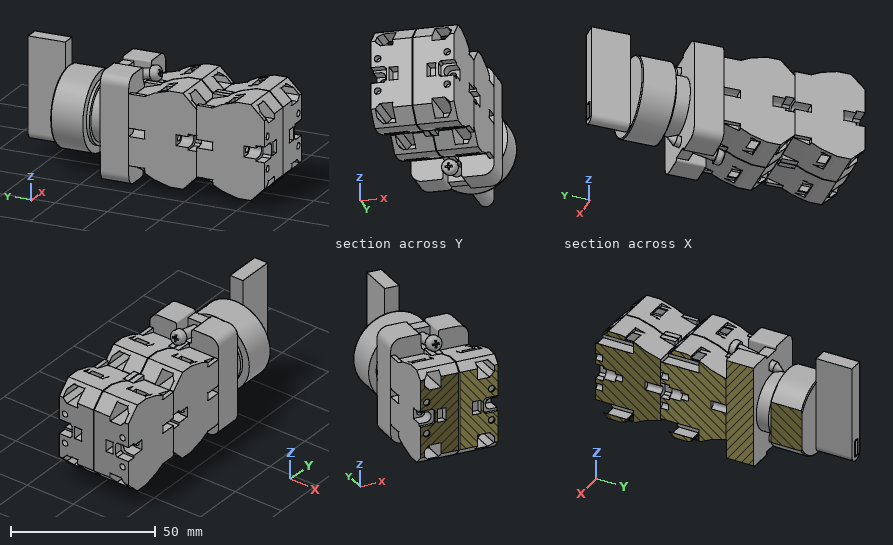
import cadquery as cq
import math

WIDTH = 29.9
HALF_WIDTH = WIDTH / 2

BLOCK_LENGTH = 26.0
BLOCK_ROWS = 2
BLOCK_GAP = 0.3
FRONT_HALF_HEIGHT = 12.6
BLOCK_HALF_HEIGHT = 17.8
RIDGE_END = 10.2
SHOULDER_START = 16.2
SHOULDER_HALF_HEIGHT = 16.0
REAR_START = 19.9
REAR_HALF_HEIGHT = 14.2
REAR_LENGTH = BLOCK_LENGTH - REAR_START

RIM = 1.6
POCKET_OUTER = HALF_WIDTH - RIM
WIRE_POCKET_INNER = 7.1
WIRE_POCKET_BOTTOM = 10.7
WIRE_POCKET_TOP = 16.6
WIRE_POCKET_CORNER = 1.7
WIRE_POCKET_DEPTH = 15.1
WINDOW_INNER = 5.2
WINDOW_START = 12.0
WINDOW_END = 15.65
WEDGE_INNER = 2.2
WEDGE_DEPTH = 1.8
SCREW_LINE = 12.5
HOLE_RADIUS = 1.2
HOLE_DEPTH = 2.9
HOLE_SPACING = 6.0
FRONT_SLOT_INNER = 9.4
FRONT_SLOT_HALF = 2.9
FRONT_SLOT_CORNER = 0.9
FRONT_SLOT_DEPTH = 3.3
DEEP_SLOT_RADIUS = 2.0
DEEP_SLOT_DEPTH = 7.9
REAR_SLOT_RADIUS = 1.5
LATCH_OUTER = 8.3
LATCH_INNER = 5.2
LATCH_HALF_HEIGHT = 2.4
LATCH_DEPTH = 4.8

PLATE_START = BLOCK_ROWS * BLOCK_LENGTH
PLATE_END = 62.9
PLATE_HALF_HEIGHT = 20.2
PLATE_CORNER = 4.1
SLOT_HALF_WIDTH = 3.3
SLOT_EDGE_RADIUS = 0.9
SLOT_CENTRE_Z = 16.0
SHELF_START = 58.5
SHELF_HEIGHT = 18.9

SCREW_TIP_Y = 67.6
SCREW_TIP_Z = 13.4
SCREW_TILT = 11.5
SCREW_RADIUS = 1.9
SCREW_TIP_LENGTH = 3.2
SCREW_HEAD_START = 18.3
SCREW_HEAD_LENGTH = 2.8
SCREW_HEAD_RADIUS = 2.8
SCREW_HEAD_ROUND = 1.4
CROSS_LENGTH = 2.5
CROSS_WIDTH = 0.6
CROSS_DEPTH = 1.0

NECK_RADIUS = 10.8
FLANGE_START = 68.4
FLANGE_RADIUS = 12.1
BEZEL_START = 69.6
BEZEL_END = 82.0
BEZEL_CHAMFER = 0.4

LENGTH = 96.6
LEVER_WIDTH = 5.6
LEVER_TOP = 24.3
LEVER_BOTTOM_CENTRE = -11.4
POINTER_HEIGHT = 0.3
POINTER_TOP = -5.9
POINTER_BOTTOM = -12.3
POINTER_WIDTH = 1.9


def box(x0, x1, y0, y1, z0, z1):
    """Box between two opposite corners."""
    return cq.Workplane("XY").box(x1 - x0, y1 - y0, z1 - z0, centered=False).translate((x0, y0, z0))


def along_y(sketch_y):
    """XZ workplane at a given Y; extruding by a negative length goes towards +Y."""
    return cq.Workplane("XZ", origin=(0, sketch_y, 0))


def mirrored_in_z(shape):
    return shape.union(shape.mirror("XY"))


def block_blank():
    chamfer = BLOCK_HALF_HEIGHT - FRONT_HALF_HEIGHT
    upper = [
        (0, FRONT_HALF_HEIGHT),
        (chamfer, BLOCK_HALF_HEIGHT),
        (RIDGE_END, BLOCK_HALF_HEIGHT),
        (SHOULDER_START, SHOULDER_HALF_HEIGHT),
        (REAR_START, REAR_HALF_HEIGHT),
        (BLOCK_LENGTH, REAR_HALF_HEIGHT),
    ]
    lower = [(y, -z) for y, z in reversed(upper)]
    side = cq.Workplane("YZ", origin=(-HALF_WIDTH, 0, 0))
    return side.polyline(upper + lower).close().extrude(HALF_WIDTH - BLOCK_GAP / 2)


def wire_pocket():
    """Front pocket for a wire, with its two outer corners cut off."""
    outline = [
        (-WIRE_POCKET_INNER, WIRE_POCKET_BOTTOM),
        (-POCKET_OUTER + WIRE_POCKET_CORNER, WIRE_POCKET_BOTTOM),
        (-POCKET_OUTER, WIRE_POCKET_BOTTOM + WIRE_POCKET_CORNER),
        (-POCKET_OUTER, WIRE_POCKET_TOP - WIRE_POCKET_CORNER),
        (-POCKET_OUTER + WIRE_POCKET_CORNER, WIRE_POCKET_TOP),
        (-WIRE_POCKET_INNER, WIRE_POCKET_TOP),
    ]
    return along_y(0).polyline(outline).close().extrude(-WIRE_POCKET_DEPTH)


def window():
    """Flat-floored window in the slope behind the ridge; its floor runs out into the slope."""
    slope = (BLOCK_HALF_HEIGHT - SHOULDER_HALF_HEIGHT) / (SHOULDER_START - RIDGE_END)
    floor_z = BLOCK_HALF_HEIGHT - slope * (WINDOW_END - RIDGE_END)
    return box(-POCKET_OUTER, -WINDOW_INNER, WINDOW_START, WINDOW_END, floor_z, BLOCK_HALF_HEIGHT)


def rear_wedge():
    """Recess in the low rear part, its floor falling towards the plate."""
    outline = [
        (REAR_START, REAR_HALF_HEIGHT),
        (BLOCK_LENGTH, REAR_HALF_HEIGHT),
        (BLOCK_LENGTH, REAR_HALF_HEIGHT - WEDGE_DEPTH),
    ]
    side = cq.Workplane("YZ", origin=(-POCKET_OUTER, 0, 0))
    return side.polyline(outline).close().extrude(POCKET_OUTER - WEDGE_INNER)


def rim_notch():
    """Notch through the side wall beside the lower rear wedge."""
    top = -REAR_HALF_HEIGHT + WEDGE_DEPTH
    return box(-HALF_WIDTH, -POCKET_OUTER, REAR_START, BLOCK_LENGTH, -REAR_HALF_HEIGHT, top)


def open_slot(start, length, radius):
    """Round-ended slot along Y, centred on the screw line and open to the side."""
    end = along_y(start).center(-SCREW_LINE, 0).circle(radius).extrude(-length)
    return end.union(box(-HALF_WIDTH, -SCREW_LINE, start, start + length, -radius, radius))


def front_slot():
    """Wide side slot with its two inner corners cut off."""
    slot = box(-HALF_WIDTH, -FRONT_SLOT_INNER, 0, FRONT_SLOT_DEPTH, -FRONT_SLOT_HALF, FRONT_SLOT_HALF)
    return slot.edges("|Y and >X").chamfer(FRONT_SLOT_CORNER)


def fixing_hole(z, start):
    return along_y(start).center(-SCREW_LINE, z).circle(HOLE_RADIUS).extrude(-HOLE_DEPTH)


def latch_hole():
    return box(-LATCH_OUTER, -LATCH_INNER, 0, LATCH_DEPTH, -LATCH_HALF_HEIGHT, LATCH_HALF_HEIGHT)


def make_contact_block():
    """Left contact block of the front row."""
    block = block_blank()
    for cutter in (wire_pocket(), window(), rear_wedge()):
        block = block.cut(mirrored_in_z(cutter))
    block = block.cut(rim_notch())
    block = block.cut(front_slot())
    block = block.cut(open_slot(0, DEEP_SLOT_DEPTH, DEEP_SLOT_RADIUS))
    block = block.cut(open_slot(REAR_START, REAR_LENGTH, REAR_SLOT_RADIUS))
    block = block.cut(mirrored_in_z(fixing_hole(HOLE_SPACING, 0)))
    block = block.cut(fixing_hole(0, DEEP_SLOT_DEPTH))
    return block.cut(latch_hole())


def tilted(shape):
    """Move a shape made along -Y from the origin onto the axis of the upper screw."""
    return shape.rotate((0, 0, 0), (1, 0, 0), -SCREW_TILT).translate((0, SCREW_TIP_Y, SCREW_TIP_Z))


def screw_shank():
    outline = [
        (0, 0),
        (SCREW_RADIUS, -SCREW_TIP_LENGTH),
        (SCREW_RADIUS, -SCREW_HEAD_START),
        (0, -SCREW_HEAD_START),
    ]
    return cq.Workplane("XY").polyline(outline).close().revolve(360, (0, 0, 0), (0, 1, 0))


def make_screw():
    """Upper clamping screw, tilted so that its tip leans towards the neck."""
    head = along_y(-SCREW_HEAD_START).circle(SCREW_HEAD_RADIUS).extrude(SCREW_HEAD_LENGTH)
    head = head.faces("<Y").edges().fillet(SCREW_HEAD_ROUND)
    head_end = -SCREW_HEAD_START - SCREW_HEAD_LENGTH
    cross = along_y(head_end).rect(CROSS_LENGTH, CROSS_WIDTH).extrude(-CROSS_DEPTH)
    cross = cross.union(along_y(head_end).rect(CROSS_WIDTH, CROSS_LENGTH).extrude(-CROSS_DEPTH))
    return tilted(screw_shank().union(head).cut(cross))


def plate_slot():
    """Slot with a round floor for the upper screw, widened by rounds at the plate's outer edge."""
    length = PLATE_END - PLATE_START
    mouth_half = SLOT_HALF_WIDTH + SLOT_EDGE_RADIUS
    round_z = PLATE_HALF_HEIGHT - SLOT_EDGE_RADIUS
    bend = SLOT_EDGE_RADIUS * (1 - math.sqrt(0.5))
    return (
        along_y(PLATE_START)
        .moveTo(-mouth_half, PLATE_HALF_HEIGHT)
        .threePointArc((-SLOT_HALF_WIDTH - bend, PLATE_HALF_HEIGHT - bend), (-SLOT_HALF_WIDTH, round_z))
        .lineTo(-SLOT_HALF_WIDTH, SLOT_CENTRE_Z)
        .threePointArc((0, SLOT_CENTRE_Z - SLOT_HALF_WIDTH), (SLOT_HALF_WIDTH, SLOT_CENTRE_Z))
        .lineTo(SLOT_HALF_WIDTH, round_z)
        .threePointArc((SLOT_HALF_WIDTH + bend, PLATE_HALF_HEIGHT - bend), (mouth_half, PLATE_HALF_HEIGHT))
        .close()
        .extrude(-length)
    )


def plate_shelf():
    """Web across the slot that carries the screw."""
    return box(
        -SLOT_HALF_WIDTH,
        SLOT_HALF_WIDTH,
        SHELF_START,
        PLATE_END,
        SLOT_CENTRE_Z - SLOT_HALF_WIDTH,
        SHELF_HEIGHT,
    )


def make_plate():
    plate = box(-HALF_WIDTH, HALF_WIDTH, PLATE_START, PLATE_END, -PLATE_HALF_HEIGHT, PLATE_HALF_HEIGHT)
    plate = plate.edges("|Y").fillet(PLATE_CORNER)
    plate = plate.cut(mirrored_in_z(plate_slot()))
    for shelf in (plate_shelf(), plate_shelf().mirror("XY")):
        plate = plate.union(shelf)
    return plate.cut(mirrored_in_z(tilted(screw_shank())))


def make_operator():
    neck = along_y(PLATE_END).circle(NECK_RADIUS).extrude(PLATE_END - FLANGE_START)
    flange = along_y(FLANGE_START).circle(FLANGE_RADIUS).extrude(FLANGE_START - BEZEL_START)
    bezel = along_y(BEZEL_START).circle(HALF_WIDTH).extrude(BEZEL_START - BEZEL_END)
    bezel = bezel.faces(">Y").edges().chamfer(BEZEL_CHAMFER)
    return neck.union(flange).union(bezel)


def make_lever():
    """Flat lever with a round lower end and a raised pointer on its outer face."""
    lever_end = LENGTH - POINTER_HEIGHT
    half = LEVER_WIDTH / 2
    lever = (
        along_y(BEZEL_END)
        .moveTo(-half, LEVER_TOP)
        .lineTo(-half, LEVER_BOTTOM_CENTRE)
        .threePointArc((0, LEVER_BOTTOM_CENTRE - half), (half, LEVER_BOTTOM_CENTRE))
        .lineTo(half, LEVER_TOP)
        .close()
        .extrude(BEZEL_END - lever_end)
    )
    pointer = box(-POINTER_WIDTH / 2, POINTER_WIDTH / 2, lever_end, LENGTH, POINTER_BOTTOM, POINTER_TOP)
    return lever.union(pointer)


left_block = make_contact_block()
right_block = left_block.rotate((0, 0, 0), (0, 1, 0), 180)
contact_blocks = []
for row in range(BLOCK_ROWS):
    for block in (left_block, right_block):
        contact_blocks.append(block.translate((0, row * BLOCK_LENGTH, 0)).val())

upper_screw = make_screw()
screws = []
for turn in (0, 180):
    screws.append(upper_screw.rotate((0, 0, 0), (0, 1, 0), turn).val())

plate = make_plate()
operator = make_operator()
lever = make_lever()

result = cq.Compound.makeCompound([*contact_blocks, *screws, plate.val(), operator.val(), lever.val()])